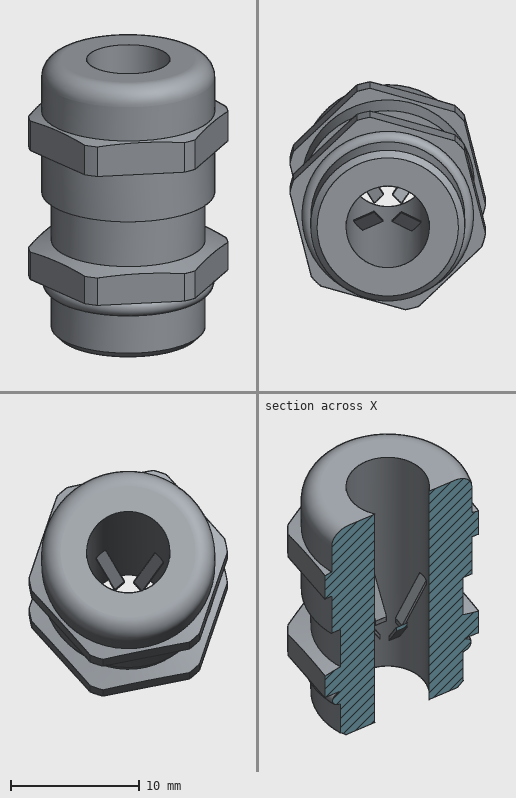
import cadquery as cq
import math

total_height = 22.7
hex_height = 2.7
lower_hex_bottom = 5.0
shoulder_height = 11.7
upper_hex_bottom = 15.7

body_radius = 12.0 / 2
cap_radius = 13.5 / 2
bore_radius = 6.5 / 2
entry_chamfer = 0.5
cap_fillet = 1.5

hex_across_flats = 14.0
hex_corner_radius = 15.6 / 2
hex_chamfer_angle = 13.4

ring_section_radius = 0.68

finger_count = 4
finger_width = 1.0
finger_tip_radius = 1.0
finger_thickness = 0.23
finger_slope = 60.0
finger_root_height = 11.35
finger_embed = 0.45


def cylinder(radius, bottom, top):
    """Upright cylinder on the part axis between two heights."""
    return cq.Workplane("XY").workplane(offset=bottom).circle(radius).extrude(top - bottom)


def hexagon(bottom, inner_radius):
    """Hexagon whose top slopes down conically from inner_radius to its corners."""
    across_corners = 2 * hex_across_flats / math.sqrt(3)
    prism = (
        cq.Workplane("XY").workplane(offset=bottom)
        .polygon(6, across_corners).extrude(hex_height)
    )
    top = bottom + hex_height
    drop = (hex_corner_radius - inner_radius) * math.tan(math.radians(hex_chamfer_angle))
    turned_blank = (
        cq.Workplane("XZ")
        .moveTo(0, bottom)
        .lineTo(hex_corner_radius, bottom)
        .lineTo(hex_corner_radius, top - drop)
        .lineTo(inner_radius, top)
        .lineTo(0, top)
        .close()
        .revolve(360, (0, 0), (0, 1))
    )
    return prism.intersect(turned_blank)


def sealing_ring():
    """Ring whose inner half is merged into the body, closed here at the bore wall."""
    ring_bottom = lower_hex_bottom - 2 * ring_section_radius
    return (
        cq.Workplane("XZ")
        .moveTo(bore_radius, ring_bottom)
        .lineTo(body_radius, ring_bottom)
        .threePointArc(
            (body_radius + ring_section_radius, ring_bottom + ring_section_radius),
            (body_radius, lower_hex_bottom),
        )
        .lineTo(bore_radius, lower_hex_bottom)
        .close()
        .revolve(360, (0, 0), (0, 1))
    )


def finger():
    """One finger on the +X side, rooted a little way into the bore wall."""
    root_radius = bore_radius + finger_embed
    rise = math.tan(math.radians(finger_slope))
    tip_top = finger_root_height - (bore_radius - finger_tip_radius) * rise
    root_top = finger_root_height + finger_embed * rise
    drop = finger_thickness / math.cos(math.radians(finger_slope))
    return (
        cq.Workplane("XZ")
        .moveTo(finger_tip_radius, tip_top)
        .lineTo(root_radius, root_top)
        .lineTo(root_radius, root_top - drop)
        .lineTo(finger_tip_radius, tip_top - drop)
        .close()
        .extrude(finger_width / 2, both=True)
    )


body = cylinder(body_radius, 0, shoulder_height).faces("<Z").chamfer(entry_chamfer)
cap = cylinder(cap_radius, shoulder_height, total_height).faces(">Z").edges().fillet(cap_fillet)

gland = (
    body.union(cap)
    .union(hexagon(lower_hex_bottom, body_radius))
    .union(hexagon(upper_hex_bottom, cap_radius))
    .union(sealing_ring())
    .cut(cylinder(bore_radius, 0, total_height))
)
for index in range(finger_count):
    angle = index * 360 / finger_count
    gland = gland.union(finger().rotate((0, 0, 0), (0, 0, 1), angle))

result = gland